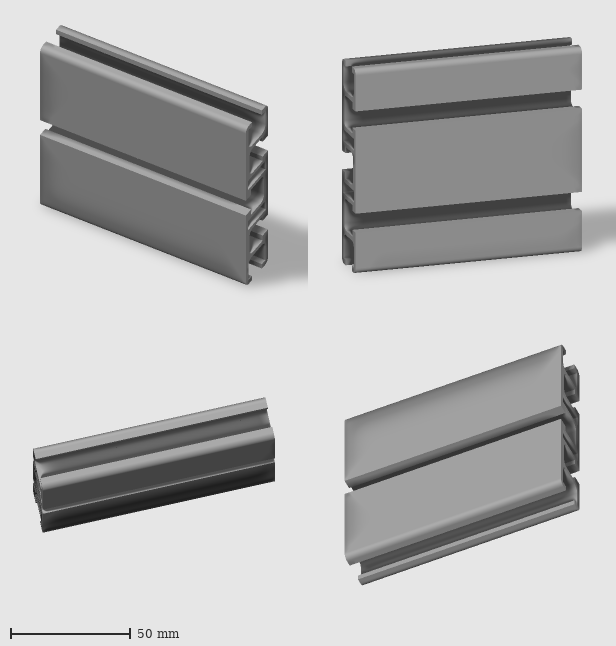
import cadquery as cq

LENGTH = 100.0
WIDTH = 18.5
HEIGHT = 90.0
CORNER_RADIUS = 2.5

SLOT_OPENING = 8.4

END_LIP = 2.5
END_CHAMBER_WIDTH = 14.2
END_SLOT_DEPTH = 13.4
END_FILLET = 3.0

SIDE_LIP = 4.4
SIDE_BACK_WALL = 3.2
OUTER_SLOT_Z = 22.5
OUTER_CHAMBER_TOP = 29.6
OUTER_CHAMBER_BOTTOM = 15.8
OUTER_FILLET = 2.5
CENTRE_CHAMBER_HEIGHT = 14.2
CENTRE_FILLET = 3.0

CELL_WIDTH = 14.9
CELL_WEB = 1.8
CELL_FILLET = 0.5


def bar(y_min, y_max, z_min, z_max):
    """Full-length rectangular bar spanning the given Y and Z limits."""
    size_y = y_max - y_min
    size_z = z_max - z_min
    return cq.Workplane("XY").box(LENGTH, size_y, size_z).translate(
        (0, (y_min + y_max) / 2, (z_min + z_max) / 2)
    )


def top_slot():
    """T-slot opening upward, with a rounded chamber floor."""
    half_height = HEIGHT / 2
    half_chamber = END_CHAMBER_WIDTH / 2
    half_opening = SLOT_OPENING / 2
    floor = half_height - END_SLOT_DEPTH
    chamber = bar(-half_chamber, half_chamber, floor, half_height - END_LIP)
    chamber = chamber.edges("|X and <Z").fillet(END_FILLET)
    return chamber.union(bar(-half_opening, half_opening, floor, half_height))


def side_slot(slot_z, chamber_bottom, chamber_top, fillet):
    """T-slot opening toward +Y, with a rounded back wall."""
    half_width = WIDTH / 2
    half_opening = SLOT_OPENING / 2
    back = SIDE_BACK_WALL - half_width
    chamber = bar(back, half_width - SIDE_LIP, chamber_bottom, chamber_top)
    chamber = chamber.edges("|X and <Y").fillet(fillet)
    return chamber.union(bar(back, half_width, slot_z - half_opening, slot_z + half_opening))


def hollow_cell():
    """Closed cell above the centre slot, rounded on its upper corners."""
    bottom = CENTRE_CHAMBER_HEIGHT / 2 + CELL_WEB
    top = OUTER_CHAMBER_BOTTOM - CELL_WEB
    cell = bar(-CELL_WIDTH / 2, CELL_WIDTH / 2, bottom, top)
    return cell.edges("|X and >Z").fillet(CELL_FILLET)


profile = bar(-WIDTH / 2, WIDTH / 2, -HEIGHT / 2, HEIGHT / 2)
profile = profile.edges("|X").fillet(CORNER_RADIUS)

outer_slot = side_slot(OUTER_SLOT_Z, OUTER_CHAMBER_BOTTOM, OUTER_CHAMBER_TOP, OUTER_FILLET)
for cavity in (top_slot(), outer_slot, hollow_cell()):
    profile = profile.cut(cavity).cut(cavity.mirror("XY"))

half_centre = CENTRE_CHAMBER_HEIGHT / 2
centre_slot = side_slot(0, -half_centre, half_centre, CENTRE_FILLET).mirror("XZ")
result = profile.cut(centre_slot)